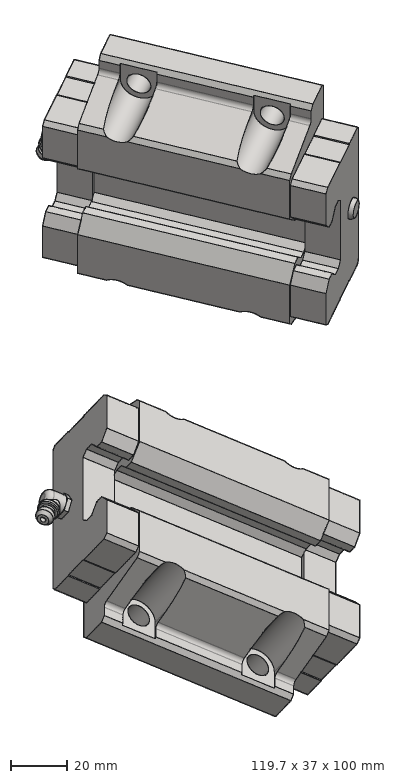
import cadquery as cq
import math


block_length = 79.5
block_width = 100.0
block_depth = 37.0
half_width = block_width / 2
back_chamfer = 1.6
flange_depth = 13.6
flange_chamfer = 1.8
flange_inner_height = 42.8
skirt_angle = 15.0
skirt_fillet = 2.0
skirt_end_depth = 35.3
block_lip_height = 16.2
block_tooth_height = 10.6
block_tooth_start = 28.0
block_tooth_end = 31.4
block_groove_height = 13.8
block_groove_start = 21.8
block_groove_end = 24.8
block_floor_depth = 18.8
block_floor_height = 12.0

relief_depth = 0.7
relief_inner_height = 12.9
relief_outer_height = 31.0

hole_diameter = 9.0
hole_pitch_x = 50.0
hole_pitch_z = 82.0
spotface_width = 13.8
spotface_depth = 13.1

caps_length = 106.2
cap_top_depth = 0.7
cap_bottom_depth = 36.3
cap_half_width = 33.75
cap_chamfer_height = 1.5
cap_back_chamfer = 1.1
cap_front_chamfer = 1.9
cap_waist_inset = 0.3
cap_waist_start = 11.0
cap_waist_end = 20.5
cap_waist_ramp = 0.6
cap_lip_height = 16.8
cap_tooth_height = 12.8
cap_tooth_start = 29.6
cap_tooth_end = 32.9
cap_groove_height = 16.7
cap_groove_start = 22.9
cap_groove_end = 26.2
cap_floor_depth = 20.5
cap_floor_height = 14.6

port_depth = 8.6
hex_across_flats = 8.0
hex_thickness = 1.75
elbow_diameter = 7.85
elbow_end_x = -62.5
elbow_fillet = 2.35
branch_x = -58.08
branch_tilt = 22.5
branch_boss_diameter = 7.0
collar_diameter = 8.0
collar_start = 3.6
collar_end = 5.7
collar_chamfer = 0.4
neck_diameter = 5.5
head_diameter = 6.6
head_start = 7.0
head_full = 7.5
head_taper_start = 9.5
head_end = 11.0
head_end_diameter = 4.3
grease_bore_diameter = 2.0
grease_bore_depth = 2.0
plug_diameter = 8.0
plug_height = 1.8
plug_end_diameter = 6.6
plug_bulge = 0.2


def prism(half_outline, length):
    """Extrude a (depth, height) half outline, mirrored about Z = 0, centred along X."""
    upper = [(-depth, height) for depth, height in half_outline]
    lower = [(y, -z) for y, z in reversed(upper)]
    section = cq.Workplane("YZ").polyline(upper + lower).close()
    return section.extrude(length / 2, both=True)


def make_block():
    skirt_drop = (skirt_end_depth - flange_depth) * math.tan(math.radians(skirt_angle))
    skirt_end_height = flange_inner_height - skirt_drop
    skirt_chamfer = block_depth - skirt_end_depth
    block = prism(
        [
            (0, half_width - back_chamfer),
            (back_chamfer, half_width),
            (flange_depth - flange_chamfer, half_width),
            (flange_depth, half_width - flange_chamfer),
            (flange_depth, flange_inner_height),
            (skirt_end_depth, skirt_end_height),
            (block_depth, skirt_end_height - skirt_chamfer),
            (block_depth, block_lip_height),
            (block_tooth_end, block_tooth_height),
            (block_tooth_start, block_tooth_height),
            (block_groove_end, block_groove_height),
            (block_groove_start, block_groove_height),
            (block_floor_depth, block_floor_height),
        ],
        block_length,
    )
    for side in (-1, 1):
        corner = (0, -flange_depth, side * flange_inner_height)
        block = block.edges(cq.selectors.NearestToPointSelector(corner)).fillet(skirt_fillet)
    return block


def cut_reliefs(block):
    relief_width = relief_outer_height - relief_inner_height
    relief_centre = (relief_outer_height + relief_inner_height) / 2
    for side in (-1, 1):
        groove = cq.Workplane("XY").box(block_length, 2 * relief_depth, relief_width)
        block = block.cut(groove.translate((0, 0, side * relief_centre)))
    return block


def cut_mounting_holes(block):
    seat_reach = half_width - hole_pitch_z / 2
    cut_depth = block_depth - spotface_depth
    for x in (-hole_pitch_x / 2, hole_pitch_x / 2):
        for side in (-1, 1):
            z = side * hole_pitch_z / 2
            seat_plane = cq.Workplane("XZ", origin=(x, -spotface_depth, z))
            round_seat = seat_plane.circle(spotface_width / 2).extrude(cut_depth)
            open_seat = (
                seat_plane.center(0, side * seat_reach / 2)
                .rect(spotface_width, seat_reach)
                .extrude(cut_depth)
            )
            hole = cq.Workplane("XZ", origin=(x, 0, z)).circle(hole_diameter / 2).extrude(block_depth)
            block = block.cut(round_seat).cut(open_seat).cut(hole)
    return block


def make_end_caps():
    """Both caps as one length; its middle is cut away to make room for the block."""
    waist_height = cap_half_width - cap_waist_inset
    full = prism(
        [
            (cap_top_depth, cap_half_width - cap_chamfer_height),
            (cap_top_depth + cap_back_chamfer, cap_half_width),
            (cap_waist_start - cap_waist_inset, cap_half_width),
            (cap_waist_start, waist_height),
            (cap_waist_end, waist_height),
            (cap_waist_end + cap_waist_ramp, cap_half_width),
            (cap_bottom_depth - cap_front_chamfer, cap_half_width),
            (cap_bottom_depth, cap_half_width - cap_chamfer_height),
            (cap_bottom_depth, cap_lip_height),
            (cap_tooth_end, cap_tooth_height),
            (cap_tooth_start, cap_tooth_height),
            (cap_groove_end, cap_groove_height),
            (cap_groove_start, cap_groove_height),
            (cap_floor_depth, cap_floor_height),
        ],
        caps_length,
    )
    middle = cq.Workplane("XY").box(block_length, 3 * block_depth, 2 * block_width)
    return full.cut(middle)


def make_elbow():
    cap_face_x = -caps_length / 2
    port_plane = cq.Workplane("YZ", origin=(cap_face_x, -port_depth, 0))
    across_corners = hex_across_flats / math.cos(math.radians(30))
    nut = port_plane.polygon(6, across_corners).extrude(-hex_thickness)
    body = (
        port_plane.circle(elbow_diameter / 2)
        .extrude(elbow_end_x - cap_face_x)
        .faces("<X")
        .edges()
        .fillet(elbow_fillet)
    )
    return nut.union(body)


def make_branch():
    """Turned nipple, revolved about -Z and then tilted outwards from the elbow axis."""
    boss_radius = branch_boss_diameter / 2
    collar_radius = collar_diameter / 2
    neck_radius = neck_diameter / 2
    head_radius = head_diameter / 2
    bore_radius = grease_bore_diameter / 2
    bore_bottom = head_end - grease_bore_depth
    radius_and_distance = [
        (0, 0),
        (boss_radius, 0),
        (boss_radius, collar_start),
        (collar_radius - collar_chamfer, collar_start),
        (collar_radius, collar_start + collar_chamfer),
        (collar_radius, collar_end - collar_chamfer),
        (collar_radius - collar_chamfer, collar_end),
        (neck_radius, collar_end),
        (neck_radius, head_start),
        (head_radius, head_full),
        (head_radius, head_taper_start),
        (head_end_diameter / 2, head_end),
        (bore_radius, head_end),
        (bore_radius, bore_bottom),
        (0, bore_bottom),
    ]
    half_section = [(radius, -distance) for radius, distance in radius_and_distance]
    nipple = cq.Workplane("XZ").polyline(half_section).close().revolve(360, (0, 0), (0, 1))
    tilted = nipple.rotate((0, 0, 0), (0, 1, 0), branch_tilt)
    return tilted.translate((branch_x, -port_depth, 0))


def make_plug():
    """Low button whose bulged flank narrows towards its flat end."""
    base_radius = plug_diameter / 2
    end_radius = plug_end_diameter / 2
    flank_radius = (base_radius + end_radius) / 2 + plug_bulge
    half_section = (
        cq.Workplane("XY", origin=(caps_length / 2, -port_depth, 0))
        .lineTo(0, base_radius)
        .threePointArc((plug_height / 2, flank_radius), (plug_height, end_radius))
        .lineTo(plug_height, 0)
        .close()
    )
    return half_section.revolve(360, (0, 0), (1, 0))


block = cut_mounting_holes(cut_reliefs(make_block()))
carriage = block.union(make_end_caps())
result = carriage.union(make_elbow()).union(make_branch()).union(make_plug())